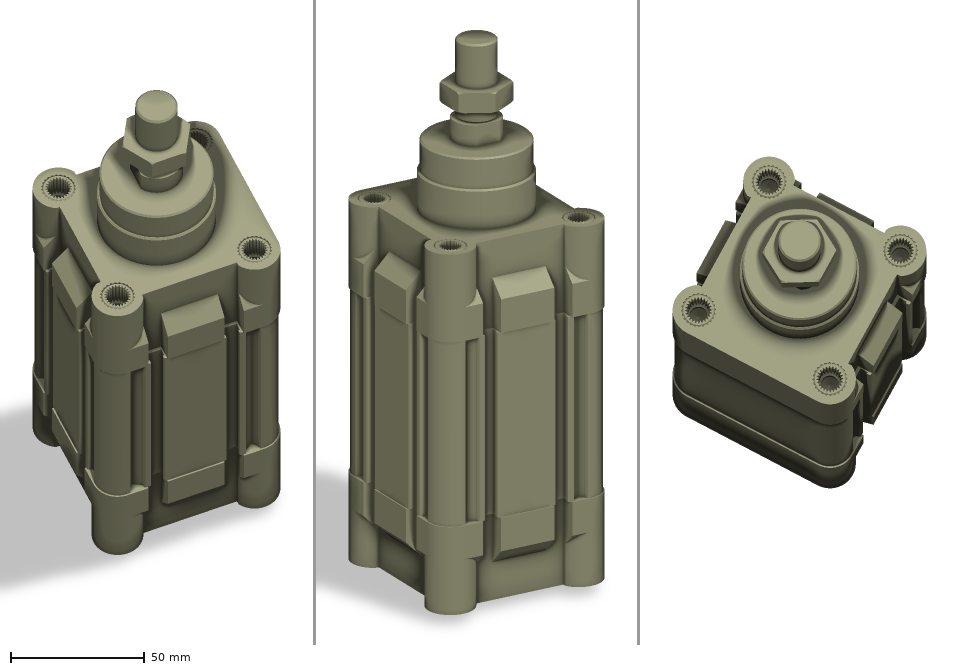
import cadquery as cq
import math

REAR_FACE = 4.4
CAP_LENGTH = 35.5
TOTAL_LENGTH = 219.0
BARREL_BOTTOM = REAR_FACE + CAP_LENGTH
FRONT_FACE = 150.0
BARREL_TOP = FRONT_FACE - CAP_LENGTH
COLLAR_TOP = 166.0
NOSE_TOP = 178.5
SHOULDER_TOP = 187.0
NUT_BOTTOM = 193.0
NUT_HEIGHT = 8.0

CAP_SIDE = 75.5
CAP_HALF = CAP_SIDE / 2
BOSS_OFFSET = 28.0
BOSS_RADIUS = CAP_HALF - BOSS_OFFSET
RECESS_DEPTH = 6.5
CORE_HALF = CAP_HALF - RECESS_DEPTH
PAD_HALF = 11.5
CHANNEL_OUTER = 19.5
PAD_LENGTH = 13.5

BARREL_INSET = 0.7
BARREL_HALF = CAP_HALF - BARREL_INSET
BARREL_CORNER_RADIUS = BOSS_RADIUS - BARREL_INSET
SLOT_DEPTH = 4.5
LIP_OVERHANG = 0.7
LIP_CHAMFER = 0.2
LIP_THICKNESS = 1.5
SLOT_INNER = 12.0
SLOT_OUTER = 18.8

GROOVE_NEAR = 20.5
GROOVE_NEAR_WALL = 21.2
GROOVE_FLOOR_NEAR = 24.0
GROOVE_FLOOR_FAR = 24.5
GROOVE_FAR_WALL = 26.0
GROOVE_FAR = 26.7
GROOVE_WALL_DEPTH = 1.8
GROOVE_DEPTH = 3.3

COLLAR_DIAMETER = 45.0
NOSE_DIAMETER = 43.0
SPIGOT_CHAMFER = 1.0
NOSE_CHAMFER = 0.7
ROD_DIAMETER = 20.0
ROD_FLATS = 17.0
THREAD_DIAMETER = 16.0
THREAD_CHAMFER = 0.77
NUT_FLATS = 24.0
NUT_FACE_DIAMETER = 26.0
NUT_CHAMFER_ANGLE = 30

SCREW_TEETH = 24
HEAD_TIP_DIAMETER = 13.1
HEAD_ROOT_DIAMETER = 12.0
HEAD_TOP_DIAMETER = 11.4
HEAD_CONE_HEIGHT = 1.0
SOCKET_TIP_DIAMETER = 10.5
SOCKET_ROOT_DIAMETER = 8.0
DRILL_DIAMETER = 6.5
SOCKET_DEPTH = 8.8
DRILL_DEPTH = 2.2
DRILL_POINT_HEIGHT = 2.0

DETAILED_SIDES = (-90, 0, 90)
CORNERS = [(sx * BOSS_OFFSET, sy * BOSS_OFFSET) for sx in (-1, 1) for sy in (-1, 1)]


def cylinder(diameter, bottom, top):
    return cq.Workplane("XY").workplane(offset=bottom).circle(diameter / 2).extrude(top - bottom)


def on_each_detailed_side(shape):
    """Copies of a shape made for the -Y side, as one workplane."""
    copies = cq.Workplane("XY")
    for angle in DETAILED_SIDES:
        copies = copies.add(shape.rotate((0, 0, 0), (0, 0, 1), angle).vals())
    return copies


def side_block(x_start, x_end):
    """Block on the -Y side of the front cap, with a 45 degree slope at its upper end."""
    outer_top = BARREL_TOP + PAD_LENGTH
    return (
        cq.Workplane("YZ")
        .workplane(offset=x_start)
        .moveTo(-CORE_HALF, BARREL_TOP)
        .lineTo(-CAP_HALF, BARREL_TOP)
        .lineTo(-CAP_HALF, outer_top)
        .lineTo(-CORE_HALF, outer_top + RECESS_DEPTH)
        .close()
        .extrude(x_end - x_start)
    )


def front_cap():
    """Cap above the barrel: core, corner bosses, plain +Y side, centre pads and corner blocks."""
    core_depth = CORE_HALF + BOSS_OFFSET
    cap = (
        cq.Workplane("XY")
        .workplane(offset=BARREL_TOP)
        .center(0, (BOSS_OFFSET - CORE_HALF) / 2)
        .rect(2 * CORE_HALF, core_depth)
        .extrude(CAP_LENGTH)
    )
    plain_side = (
        cq.Workplane("XY")
        .workplane(offset=BARREL_TOP)
        .center(0, CAP_HALF - BOSS_RADIUS / 2)
        .rect(2 * BOSS_OFFSET, BOSS_RADIUS)
        .extrude(CAP_LENGTH)
    )
    bosses = (
        cq.Workplane("XY")
        .workplane(offset=BARREL_TOP)
        .pushPoints(CORNERS)
        .circle(BOSS_RADIUS)
        .extrude(CAP_LENGTH)
    )
    recess = (
        cq.Workplane("XY")
        .workplane(offset=BARREL_TOP)
        .center(0, -CORE_HALF - RECESS_DEPTH / 2)
        .rect(2 * CHANNEL_OUTER, RECESS_DEPTH)
        .extrude(CAP_LENGTH)
    )
    for side_recess in on_each_detailed_side(recess).vals():
        bosses = bosses.cut(cq.Workplane(side_recess))
    cap = cap.union(plain_side).union(bosses)
    spans = (
        (-BOSS_OFFSET, -CHANNEL_OUTER),
        (-PAD_HALF, PAD_HALF),
        (CHANNEL_OUTER, BOSS_OFFSET),
    )
    for x_start, x_end in spans:
        for block in on_each_detailed_side(side_block(x_start, x_end)).vals():
            cap = cap.union(cq.Workplane(block))
    return cap


def rear_cap(cap):
    """Mirror image of the front cap, below the barrel."""
    middle = (BARREL_BOTTOM + BARREL_TOP) / 2
    return cap.mirror("XY", (0, 0, middle))


def barrel_cutter(points, direction):
    """Prism along the barrel from (distance from side centre, depth) points on the -Y side."""
    outline = [(direction * x, depth - BARREL_HALF) for x, depth in points]
    return (
        cq.Workplane("XY")
        .workplane(offset=BARREL_BOTTOM)
        .polyline(outline)
        .close()
        .extrude(BARREL_TOP - BARREL_BOTTOM)
    )


def barrel():
    body = (
        cq.Workplane("XY")
        .workplane(offset=BARREL_BOTTOM)
        .rect(2 * BARREL_HALF, 2 * BARREL_HALF)
        .extrude(BARREL_TOP - BARREL_BOTTOM)
        .edges("|Z")
        .fillet(BARREL_CORNER_RADIUS)
    )
    slot = [
        (SLOT_INNER, 0),
        (SLOT_INNER + LIP_OVERHANG, LIP_CHAMFER),
        (SLOT_INNER + LIP_OVERHANG, LIP_THICKNESS),
        (SLOT_INNER, LIP_THICKNESS),
        (SLOT_INNER, SLOT_DEPTH),
        (SLOT_OUTER, SLOT_DEPTH),
        (SLOT_OUTER, LIP_THICKNESS),
        (SLOT_OUTER - LIP_OVERHANG, LIP_THICKNESS),
        (SLOT_OUTER - LIP_OVERHANG, LIP_CHAMFER),
        (SLOT_OUTER, 0),
    ]
    groove = [
        (GROOVE_NEAR, 0),
        (GROOVE_NEAR_WALL, GROOVE_WALL_DEPTH),
        (GROOVE_FLOOR_NEAR, GROOVE_DEPTH),
        (GROOVE_FLOOR_FAR, GROOVE_DEPTH),
        (GROOVE_FAR_WALL, GROOVE_WALL_DEPTH),
        (GROOVE_FAR, 0),
    ]
    for points in (slot, groove):
        for direction in (-1, 1):
            for cutter in on_each_detailed_side(barrel_cutter(points, direction)).vals():
                body = body.cut(cq.Workplane(cutter))
    return body


def star(tip_diameter, root_diameter, bottom, height):
    """Toothed prism on the axis with straight-sided teeth."""
    points = []
    for i in range(2 * SCREW_TEETH):
        radius = (root_diameter if i % 2 else tip_diameter) / 2
        angle = math.pi * i / SCREW_TEETH
        points.append((radius * math.cos(angle), radius * math.sin(angle)))
    return cq.Workplane("XY").workplane(offset=bottom).polyline(points).close().extrude(height)


def screw_recess():
    """Material removed from a boss around and inside its serrated, cone-topped screw head."""
    bottom = FRONT_FACE - HEAD_CONE_HEIGHT
    cone = (
        cq.Workplane("XZ")
        .moveTo(0, bottom)
        .lineTo(HEAD_TIP_DIAMETER / 2, bottom)
        .lineTo(HEAD_TOP_DIAMETER / 2, FRONT_FACE)
        .lineTo(0, FRONT_FACE)
        .close()
        .revolve(360, (0, 0, 0), (0, 1, 0))
    )
    gap = star(HEAD_TIP_DIAMETER, HEAD_ROOT_DIAMETER, bottom, HEAD_CONE_HEIGHT).cut(cone)
    socket_bottom = FRONT_FACE - SOCKET_DEPTH
    drill_shoulder = socket_bottom - DRILL_DEPTH
    socket = star(SOCKET_TIP_DIAMETER, SOCKET_ROOT_DIAMETER, socket_bottom, SOCKET_DEPTH)
    drilling = (
        cq.Workplane("XZ")
        .moveTo(0, drill_shoulder - DRILL_POINT_HEIGHT)
        .lineTo(DRILL_DIAMETER / 2, drill_shoulder)
        .lineTo(DRILL_DIAMETER / 2, socket_bottom)
        .lineTo(0, socket_bottom)
        .close()
        .revolve(360, (0, 0, 0), (0, 1, 0))
    )
    return gap.union(socket).union(drilling)


def make_housing():
    cap = front_cap()
    body = barrel().union(cap).union(rear_cap(cap))
    spigot = cylinder(COLLAR_DIAMETER, 0, REAR_FACE).faces("<Z").chamfer(SPIGOT_CHAMFER)
    collar = cylinder(COLLAR_DIAMETER, FRONT_FACE, COLLAR_TOP).faces(">Z").chamfer(NOSE_CHAMFER)
    nose = cylinder(NOSE_DIAMETER, COLLAR_TOP, NOSE_TOP).faces(">Z").chamfer(NOSE_CHAMFER)
    body = body.union(spigot).union(collar).union(nose)
    recess = screw_recess()
    for x, y in CORNERS:
        body = body.cut(recess.translate((x, y, 0)))
    return body.cut(cylinder(ROD_DIAMETER, BARREL_TOP, NOSE_TOP))


def make_rod():
    """Piston rod with wrench flats facing +Y and -Y, and a threaded end of plain diameter."""
    shank = cylinder(ROD_DIAMETER, BARREL_TOP, NOSE_TOP)
    shoulder = cylinder(ROD_DIAMETER, NOSE_TOP, SHOULDER_TOP).intersect(
        cq.Workplane("XY")
        .workplane(offset=NOSE_TOP)
        .rect(ROD_DIAMETER, ROD_FLATS)
        .extrude(SHOULDER_TOP - NOSE_TOP)
    )
    thread = cylinder(THREAD_DIAMETER, SHOULDER_TOP, TOTAL_LENGTH)
    thread = thread.faces("<Z or >Z").chamfer(THREAD_CHAMFER)
    return shank.union(shoulder).union(thread)


def make_nut():
    """Hexagon nut with corners toward +Y and -Y, chamfered at both ends."""
    corner_radius = NUT_FLATS / math.sqrt(3)
    face_radius = NUT_FACE_DIAMETER / 2
    chamfer_height = (corner_radius - face_radius) * math.tan(math.radians(NUT_CHAMFER_ANGLE))
    nut_top = NUT_BOTTOM + NUT_HEIGHT
    hexagon = (
        cq.Workplane("XY")
        .workplane(offset=NUT_BOTTOM)
        .polygon(6, 2 * corner_radius)
        .extrude(NUT_HEIGHT)
        .rotate((0, 0, 0), (0, 0, 1), 90)
    )
    envelope = (
        cq.Workplane("XZ")
        .moveTo(0, NUT_BOTTOM)
        .lineTo(face_radius, NUT_BOTTOM)
        .lineTo(corner_radius, NUT_BOTTOM + chamfer_height)
        .lineTo(corner_radius, nut_top - chamfer_height)
        .lineTo(face_radius, nut_top)
        .lineTo(0, nut_top)
        .close()
        .revolve(360, (0, 0, 0), (0, 1, 0))
    )
    return hexagon.intersect(envelope).cut(cylinder(THREAD_DIAMETER, NUT_BOTTOM, nut_top))


housing = make_housing()
rod = make_rod()
nut = make_nut()

result = cq.Compound.makeCompound([housing.val(), rod.val(), nut.val()])